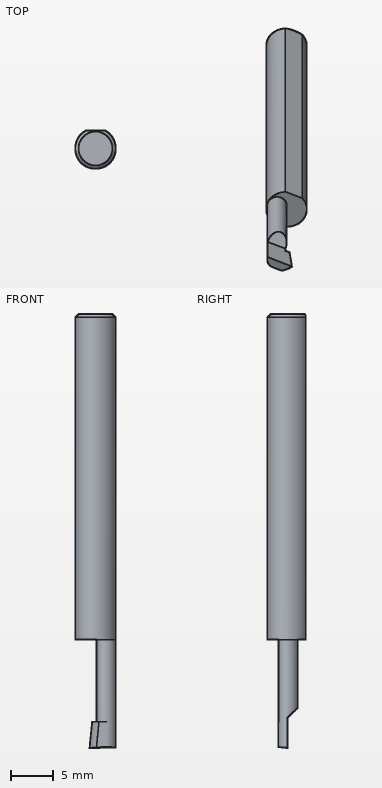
import cadquery as cq

total_length = 50.8
shank_diameter = 4.8
shank_radius = shank_diameter / 2
flat_y = 2.15
shank_bottom_z = 12.7
shank_chamfer = 0.4

neck_diameter = 2.3
neck_radius = neck_diameter / 2
neck_x = shank_radius - neck_radius
neck_y = 0.05
neck_front_y = neck_y - neck_radius

rake_y = 0.0
rake_bottom_z = 3.55
rake_slope_height = 1.15

tooth_height = 3.1
tooth_lean = 0.3
tip_x = -0.7
relief_edge_x = -0.2
relief_edge_y = -0.75
flank_bulge = 0.05
heel_x = 0.1

edge_angle = 1.0
end_relief_angle = 6.0


def make_shank():
    shank = (
        cq.Workplane("XY", origin=(0, 0, shank_bottom_z))
        .circle(shank_radius)
        .extrude(total_length - shank_bottom_z)
        .faces(">Z")
        .chamfer(shank_chamfer)
    )
    beyond_flat = cq.Workplane("XY").box(
        shank_diameter, shank_diameter, total_length, centered=(True, False, False)
    )
    return shank.cut(beyond_flat.translate((0, flat_y, 0)))


def make_neck():
    return (
        cq.Workplane("XY")
        .center(neck_x, neck_y)
        .circle(neck_radius)
        .extrude(shank_bottom_z)
    )


def make_rake_cut():
    """Open space in front of the rake face, with a sloping run-out."""
    back_y = neck_y + neck_radius
    return (
        cq.Workplane("YZ")
        .polyline([
            (rake_y, 0),
            (rake_y, rake_bottom_z),
            (back_y, rake_bottom_z + rake_slope_height),
            (back_y, 0),
        ])
        .close()
        .extrude(shank_diameter, both=True)
    )


def draw_tooth_section(plane, shift):
    """Tooth cross-section, with its relieved side moved by shift along X."""
    bulge_point = (
        (tip_x + relief_edge_x) / 2 + shift - flank_bulge,
        (rake_y + relief_edge_y) / 2,
    )
    return (
        plane.moveTo(tip_x + shift, rake_y)
        .threePointArc(bulge_point, (relief_edge_x + shift, relief_edge_y))
        .lineTo(heel_x + shift, neck_front_y)
        .lineTo(neck_x, neck_front_y)
        .lineTo(neck_x, rake_y)
        .close()
    )


def make_tooth():
    base = draw_tooth_section(cq.Workplane("XY"), 0)
    both_ends = draw_tooth_section(base.workplane(offset=tooth_height), tooth_lean)
    return both_ends.loft(ruled=True)


def make_end_cut():
    """Block whose tilted top passes through the cutting corner."""
    block = cq.Workplane("XY").box(
        4 * shank_diameter, 4 * shank_diameter, shank_diameter, centered=(True, True, False)
    )
    return (
        block.translate((0, 0, -shank_diameter))
        .rotate((0, 0, 0), (1, 0, 0), -end_relief_angle)
        .rotate((0, 0, 0), (0, 1, 0), -edge_angle)
        .translate((tip_x, rake_y, 0))
    )


cutting_end = make_neck().cut(make_rake_cut()).union(make_tooth()).cut(make_end_cut())
result = make_shank().union(cutting_end)